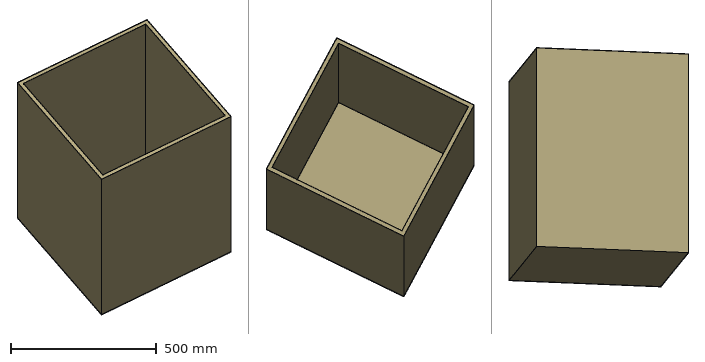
import cadquery as cq

side = 530.0
height = 700.0
wall = 15.0

cavity_side = side - 2 * wall
cavity_depth = height - wall

outer_block = cq.Workplane("XY").box(side, side, height, centered=(True, True, False))

cavity = (
    cq.Workplane("XY")
    .workplane(offset=wall)
    .rect(cavity_side, cavity_side)
    .extrude(cavity_depth)
)

result = outer_block.cut(cavity)